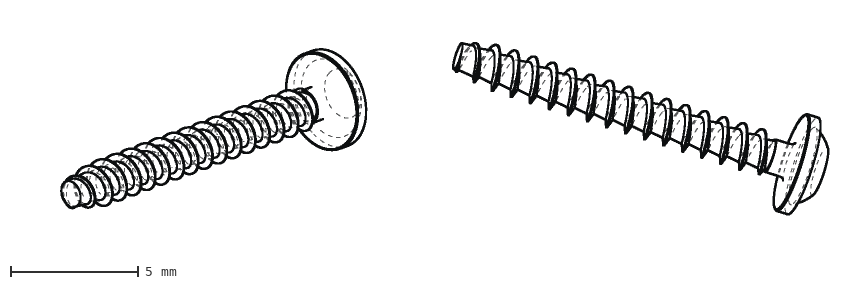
import cadquery as cq
import math

FLANGE_RADIUS = 2.0
FLANGE_THICKNESS = 0.5
FLANGE_EDGE_FILLET = 0.05
HEAD_HEIGHT = 1.2
DOME_BASE_RADIUS = 1.6
DOME_TOP_RADIUS = 1.0

NECK_RADIUS = 0.675
NECK_FILLET = 0.25
NECK_LENGTH = 0.87
CORE_RADIUS = 0.4
SHANK_LENGTH = 14.0

PITCH = 0.8
SPARE_TURNS = 1
RUN_IN_TURNS = 1
FULL_TURNS = 14
RUN_OUT_TURNS = 2
TOTAL_TURNS = SPARE_TURNS + RUN_IN_TURNS + FULL_TURNS + RUN_OUT_TURNS
SEAM_TURN = -0.28
FIRST_CREST_DEPTH = SEAM_TURN * PITCH
MAJOR_RADIUS = 0.9
RUN_IN_CREST_RADIUS = 0.72
RUN_OUT_CREST_RADIUS = 0.54
CREST_HALF_WIDTH = 0.02

ROOT_HIGH_RADIUS = 0.625
ROOT_LOW_RADIUS = 0.55
ROOT_HIGH_OFFSET = 0.125
ROOT_LOW_OFFSET = -0.15
RUN_OUT_ROOT_HIGH_OFFSET = 0.06
RUN_OUT_ROOT_LOW_OFFSET = -0.06
RUN_OUT_ROOT_HIGH_RADIUS = 0.53
RUN_OUT_ROOT_LOW_RADIUS = 0.515
BORE_RADIUS = 0.3


def make_head_and_neck():
    """Head and neck as one turned solid; the axis is Z and depth runs along +Z."""
    radius_term = DOME_TOP_RADIUS**2 - DOME_BASE_RADIUS**2
    height_term = HEAD_HEIGHT**2 - FLANGE_THICKNESS**2
    dome_centre = (radius_term + height_term) / (2 * (HEAD_HEIGHT - FLANGE_THICKNESS))
    dome_radius = math.hypot(DOME_TOP_RADIUS, HEAD_HEIGHT - dome_centre)
    dome_mid_height = (FLANGE_THICKNESS + HEAD_HEIGHT) / 2
    dome_mid_radius = math.sqrt(dome_radius**2 - (dome_mid_height - dome_centre) ** 2)

    profile = (
        cq.Workplane("XZ")
        .moveTo(0, -HEAD_HEIGHT)
        .lineTo(DOME_TOP_RADIUS, -HEAD_HEIGHT)
        .threePointArc((dome_mid_radius, -dome_mid_height), (DOME_BASE_RADIUS, -FLANGE_THICKNESS))
        .lineTo(FLANGE_RADIUS, -FLANGE_THICKNESS)
        .lineTo(FLANGE_RADIUS, -FLANGE_EDGE_FILLET)
        .radiusArc((FLANGE_RADIUS - FLANGE_EDGE_FILLET, 0), FLANGE_EDGE_FILLET)
        .lineTo(NECK_RADIUS + NECK_FILLET, 0)
        .radiusArc((NECK_RADIUS, NECK_FILLET), NECK_FILLET)
        .lineTo(NECK_RADIUS, NECK_LENGTH)
        .lineTo(0, NECK_LENGTH)
        .close()
    )
    return profile.revolve(360, (0, 0, 0), (0, 1, 0))


BORE, LOW, CREST_TOP, CREST_BOTTOM, HIGH = range(5)


def sleeve_section(crest_radius):
    """Corners of one turn as (radius, depth from the crest's middle), from the bore outwards."""
    return [
        (BORE_RADIUS, ROOT_LOW_OFFSET),
        (ROOT_LOW_RADIUS, ROOT_LOW_OFFSET),
        (crest_radius, -CREST_HALF_WIDTH),
        (crest_radius, CREST_HALF_WIDTH),
        (ROOT_HIGH_RADIUS, ROOT_HIGH_OFFSET),
    ]


def sections_by_turn():
    """Section at the start of every turn; it changes evenly in between."""
    run_in = sleeve_section(RUN_IN_CREST_RADIUS)
    full = sleeve_section(MAJOR_RADIUS)
    run_out = [
        (BORE_RADIUS, RUN_OUT_ROOT_LOW_OFFSET),
        (RUN_OUT_ROOT_LOW_RADIUS, RUN_OUT_ROOT_LOW_OFFSET),
        (RUN_OUT_CREST_RADIUS, -CREST_HALF_WIDTH),
        (RUN_OUT_CREST_RADIUS, CREST_HALF_WIDTH),
        (RUN_OUT_ROOT_HIGH_RADIUS, RUN_OUT_ROOT_HIGH_OFFSET),
    ]

    sections = [run_in] * (SPARE_TURNS + RUN_IN_TURNS) + [full] * (FULL_TURNS + 1)
    for step in range(1, RUN_OUT_TURNS + 1):
        share = step / RUN_OUT_TURNS
        section = []
        for (full_radius, full_offset), (end_radius, end_offset) in zip(full, run_out):
            radius = full_radius + share * (end_radius - full_radius)
            offset = full_offset + share * (end_offset - full_offset)
            section.append((radius, offset))
        sections.append(section)
    return sections + [run_out, run_out]


SECTIONS = sections_by_turn()


def corner_at(corner, turn):
    """Radius and depth of a section corner after a whole number of turns."""
    radius, offset = SECTIONS[turn][corner]
    return radius, FIRST_CREST_DEPTH + turn * PITCH + offset


def helix_edge(corner, turn):
    """One turn of the helix traced by a section corner, its radius changing evenly."""
    start_radius, start_depth = corner_at(corner, turn)
    end_radius, end_depth = corner_at(corner, turn + 1)
    height = end_depth - start_depth
    foot = cq.Vector(0, 0, start_depth)
    if math.isclose(start_radius, end_radius):
        return cq.Wire.makeHelix(height, height, start_radius, center=foot).Edges()[0]
    cone_angle = math.atan2(end_radius - start_radius, height)
    slant = height / math.cos(cone_angle)
    wire = cq.Wire.makeHelix(slant, slant, start_radius, center=foot, angle=math.degrees(cone_angle))
    return wire.Edges()[0]


def helical_face(first_corner, second_corner, turn, turns_between=0):
    """One turn of the face between two section corners, the second lying some turns further on."""
    first = helix_edge(first_corner, turn)
    second = helix_edge(second_corner, turn + turns_between)
    return cq.Face.makeRuledSurface(first, second)


def end_cap(turn):
    """Flat face across one whole pitch of the sleeve."""
    corners = [corner_at(corner, turn) for corner in (BORE, LOW, CREST_TOP, CREST_BOTTOM, HIGH)]
    corners += [corner_at(LOW, turn + 1), corner_at(BORE, turn + 1)]
    points = [cq.Vector(radius, 0, depth) for radius, depth in corners]
    return cq.Face.makeFromWires(cq.Wire.makePolygon(points, close=True))


def make_sleeve():
    """Threaded sleeve: each turn's root runs right up to the thread of the next turn."""
    faces = [end_cap(0), end_cap(TOTAL_TURNS)]
    for turn in range(TOTAL_TURNS):
        faces.append(helical_face(LOW, CREST_TOP, turn))
        faces.append(helical_face(CREST_TOP, CREST_BOTTOM, turn))
        faces.append(helical_face(CREST_BOTTOM, HIGH, turn))
        faces.append(helical_face(HIGH, LOW, turn, turns_between=1))
        faces.append(helical_face(BORE, BORE, turn, turns_between=1))
    faces.append(helical_face(BORE, LOW, 0))
    faces.append(helical_face(BORE, LOW, TOTAL_TURNS))
    return cq.Workplane(cq.Solid.makeSolid(cq.Shell.makeShell(faces)))


def make_shank():
    """Sleeve filled by its core, cut flush with the end of the neck and with the tip."""
    core_start = FIRST_CREST_DEPTH - PITCH
    core_end = SHANK_LENGTH + 2 * PITCH
    core = (
        cq.Workplane()
        .workplane(offset=core_start)
        .circle(CORE_RADIUS)
        .extrude(core_end - core_start)
    )
    envelope = (
        cq.Workplane()
        .workplane(offset=NECK_LENGTH)
        .circle(FLANGE_RADIUS)
        .extrude(SHANK_LENGTH - NECK_LENGTH)
    )
    return make_sleeve().union(core).intersect(envelope)


SEAM_ANGLE = 2 * math.pi * SEAM_TURN
SCREW_PLANE = cq.Plane(
    origin=(0, 0, 0),
    xDir=(-math.sin(SEAM_ANGLE), 0, math.cos(SEAM_ANGLE)),
    normal=(0, -1, 0),
)

screw = make_head_and_neck().union(make_shank())
result = cq.Workplane(screw.solids().val().moved(cq.Location(SCREW_PLANE)))